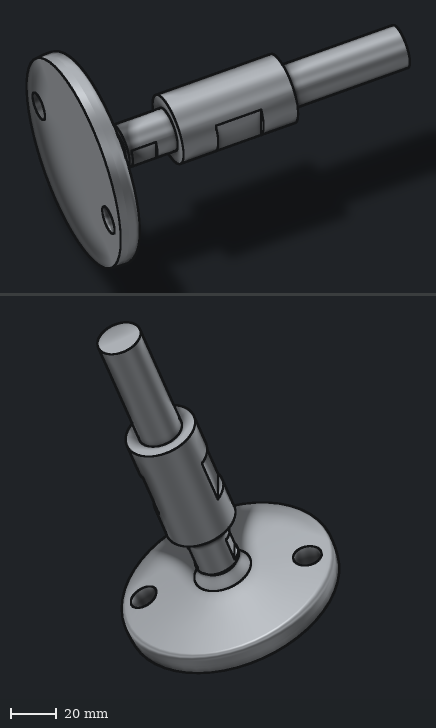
import cadquery as cq
import math

TOTAL_LENGTH = 157.0

FOOT_DIAMETER = 98.0
FOOT_RADIUS = FOOT_DIAMETER / 2
BASE_INSET = 0.5
BASE_TAPER_HEIGHT = 4.0
RIM_HEIGHT = 7.2
RIM_ROUND = 2.8
HUB_BASE_RADIUS = 13.0
HUB_BASE_HEIGHT = 15.2
HUB_TOP_HEIGHT = 20.1
HUB_TOP_RADIUS = HUB_BASE_RADIUS - (HUB_TOP_HEIGHT - HUB_BASE_HEIGHT)
CONE_ANGLE = 9.0

HOLE_DIAMETER = 12.5
HOLE_OFFSET = 35.8
HOLE_DRILL_LENGTH = 47.1

STUD_DIAMETER = 20.0
STUD_RADIUS = STUD_DIAMETER / 2
STUD_BOTTOM = 22.3
NECK_RADIUS = 6.0
COLLAR_RADIUS = 8.8
COLLAR_HEIGHT = 20.9
STUD_FLATS_BOTTOM = 23.9
STUD_FLATS_TOP = 35.6
STUD_ACROSS_FLATS = 16.8

SLEEVE_DIAMETER = 32.0
SLEEVE_BOTTOM = 45.4
SLEEVE_TOP = 100.5
SLEEVE_FLATS_LENGTH = 21.8
SLEEVE_FLATS_BOTTOM = (SLEEVE_BOTTOM + SLEEVE_TOP - SLEEVE_FLATS_LENGTH) / 2
SLEEVE_FLATS_TOP = SLEEVE_FLATS_BOTTOM + SLEEVE_FLATS_LENGTH
SLEEVE_ACROSS_FLATS = 27.0


def revolve_about_y(profile):
    return profile.close().revolve(360, (0, 0, 0), (0, 1, 0))


def cylinder_along_y(diameter, bottom, top):
    return cq.Workplane("XZ", origin=(0, bottom, 0)).circle(diameter / 2).extrude(bottom - top)


def cut_wrench_flats(body, diameter, across_flats, bottom, top):
    """Cut a pair of flats, facing -X and +X, between two heights."""
    for side in (-1, 1):
        cutter = cq.Workplane("XY").box(diameter, top - bottom, 2 * diameter)
        center_x = side * (across_flats + diameter) / 2
        body = body.cut(cutter.translate((center_x, (bottom + top) / 2, 0)))
    return body


def rim_round_point(angle):
    """Point of the rim rounding at an angle above the horizontal, in degrees."""
    radians = math.radians(angle)
    center_radius = FOOT_RADIUS - RIM_ROUND
    return (
        center_radius + RIM_ROUND * math.cos(radians),
        RIM_HEIGHT + RIM_ROUND * math.sin(radians),
    )


def drill_mounting_holes(body):
    """Cut the two holes, each leaning outward towards its upper end."""
    lean = math.radians(CONE_ANGLE)
    for side in (-1, 1):
        direction = cq.Vector(side * math.sin(lean), math.cos(lean), 0)
        start = cq.Vector(side * HOLE_OFFSET, 0, 0) - direction * (HOLE_DRILL_LENGTH / 2)
        drill = cq.Solid.makeCylinder(HOLE_DIAMETER / 2, HOLE_DRILL_LENGTH, start, direction)
        body = body.cut(cq.Workplane(drill))
    return body


def make_foot():
    round_end_angle = 90 - CONE_ANGLE
    profile = (
        cq.Workplane("XY")
        .moveTo(0, 0)
        .lineTo(FOOT_RADIUS - BASE_INSET, 0)
        .lineTo(FOOT_RADIUS, BASE_TAPER_HEIGHT)
        .lineTo(FOOT_RADIUS, RIM_HEIGHT)
        .threePointArc(rim_round_point(round_end_angle / 2), rim_round_point(round_end_angle))
        .lineTo(HUB_BASE_RADIUS, HUB_BASE_HEIGHT)
        .lineTo(HUB_TOP_RADIUS, HUB_TOP_HEIGHT)
        .lineTo(0, HUB_TOP_HEIGHT)
    )
    return drill_mounting_holes(revolve_about_y(profile))


def make_stud():
    """Round stud with a flared collar that rests on the hub of the foot."""
    profile = (
        cq.Workplane("XY")
        .moveTo(0, HUB_TOP_HEIGHT)
        .lineTo(HUB_TOP_RADIUS, HUB_TOP_HEIGHT)
        .lineTo(COLLAR_RADIUS, COLLAR_HEIGHT)
        .lineTo(NECK_RADIUS, STUD_BOTTOM)
        .lineTo(STUD_RADIUS, STUD_BOTTOM)
        .lineTo(STUD_RADIUS, TOTAL_LENGTH)
        .lineTo(0, TOTAL_LENGTH)
    )
    return cut_wrench_flats(
        revolve_about_y(profile), STUD_DIAMETER, STUD_ACROSS_FLATS, STUD_FLATS_BOTTOM, STUD_FLATS_TOP
    )


def make_sleeve():
    """Sleeve whose bore fits the stud."""
    body = cylinder_along_y(SLEEVE_DIAMETER, SLEEVE_BOTTOM, SLEEVE_TOP)
    body = body.cut(cylinder_along_y(STUD_DIAMETER, SLEEVE_BOTTOM, SLEEVE_TOP))
    return cut_wrench_flats(
        body, SLEEVE_DIAMETER, SLEEVE_ACROSS_FLATS, SLEEVE_FLATS_BOTTOM, SLEEVE_FLATS_TOP
    )


foot = make_foot()
stud = make_stud()
sleeve = make_sleeve()

result = cq.Compound.makeCompound([body.solids().val() for body in (foot, stud, sleeve)])